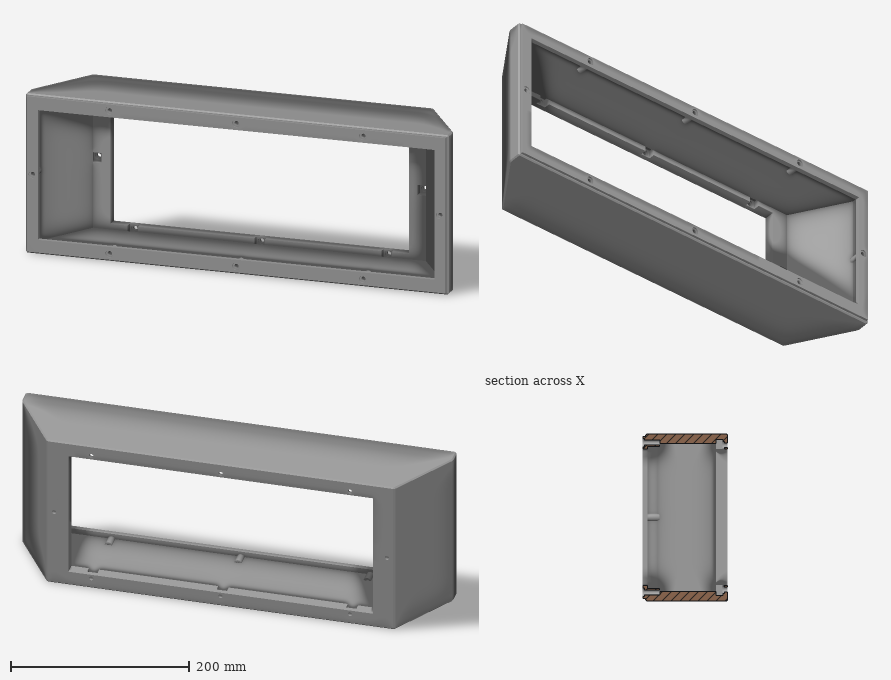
import cadquery as cq

LENGTH = 500.0
DEPTH = 95.5
HEIGHT = 187.5

BACK_LENGTH = 403.0
STRAIGHT_DEPTH = 20.0
EDGE_CHAMFER = 1.5
FACE_STEP = 3.0
FACE_INSET = 2.5

WALL = 11.0
FRONT_FLANGE = 5.5
BACK_FLANGE = 13.0
RAIL_HEIGHT = 17.5
FRONT_OPENING = 469.0
BACK_OPENING = 353.0

SCREW_PITCH = 150.0
FRONT_RAIL_SCREW_Z = 84.0
BACK_RAIL_SCREW_Z = 81.0
FRONT_END_SCREW_X = 241.0
BACK_END_SCREW_X = 193.0
SCREW_HOLE = 5.0
HEAD_RECESS = 9.0
RECESS_DEPTH = 1.5
INSERT_DIAMETER = 9.0
INSERT_END = 19.0
POCKET_SIZE = 12.0
POCKET_DEPTH = 7.5
POCKET_STEP_DIAMETER = 8.0


def tapered_block(inset, height):
    """Extrude the plan outline, offset inwards, symmetrically about Z = 0."""
    half_front = LENGTH / 2
    half_back = BACK_LENGTH / 2
    outline = [
        (-half_front, 0),
        (half_front, 0),
        (half_front, STRAIGHT_DEPTH),
        (half_back, DEPTH),
        (-half_back, DEPTH),
        (-half_front, STRAIGHT_DEPTH),
    ]
    plan = cq.Workplane("XY").polyline(outline).close()
    if inset:
        plan = plan.offset2D(-inset)
    return plan.extrude(height / 2, both=True)


def block_along_y(x, z, size_x, size_z, y_start, y_end):
    """Box centred on (x, z) and spanning y_start to y_end."""
    middle = (y_start + y_end) / 2
    return cq.Workplane("XY").box(size_x, y_end - y_start, size_z).translate((x, middle, z))


def rods_along_y(points, diameter, y_start, y_end):
    """Cylinders parallel to Y at the given (x, z) points."""
    plane = cq.Plane(origin=(0, y_start, 0), xDir=(1, 0, 0), normal=(0, -1, 0))
    return cq.Workplane(plane).pushPoints(points).circle(diameter / 2).extrude(y_start - y_end)


def screw_points(end_x, rail_z):
    """Three screws in each long rail and one in each end."""
    rails = [(i * SCREW_PITCH, side * rail_z) for i in (-1, 0, 1) for side in (-1, 1)]
    ends = [(side * end_x, 0) for side in (-1, 1)]
    return rails + ends


back_flange_y = DEPTH - BACK_FLANGE
opening_height = HEIGHT - 2 * RAIL_HEIGHT
front_screws = screw_points(FRONT_END_SCREW_X, FRONT_RAIL_SCREW_Z)
back_screws = screw_points(BACK_END_SCREW_X, BACK_RAIL_SCREW_Z)

shell_space = block_along_y(0, 0, LENGTH, HEIGHT, FACE_STEP, DEPTH)
shell = tapered_block(0, HEIGHT).intersect(shell_space).edges().chamfer(EDGE_CHAMFER)
face_length = LENGTH - 2 * FACE_INSET
face_height = HEIGHT - 2 * FACE_INSET
shell = shell.union(block_along_y(0, 0, face_length, face_height, 0, FRONT_FLANGE))

inner_length = LENGTH - 2 * WALL
inner_height = HEIGHT - 2 * WALL
cavity_front = block_along_y(0, 0, inner_length, inner_height, FRONT_FLANGE, WALL)
cavity_slab = block_along_y(0, 0, LENGTH, HEIGHT, FRONT_FLANGE, back_flange_y)
cavity = tapered_block(WALL, inner_height).union(cavity_front).intersect(cavity_slab)

front_opening = block_along_y(0, 0, FRONT_OPENING, opening_height, 0, FRONT_FLANGE)
back_opening = block_along_y(0, 0, BACK_OPENING, opening_height, back_flange_y, DEPTH)
result = shell.cut(cavity).cut(front_opening).cut(back_opening)

result = result.union(rods_along_y(front_screws, INSERT_DIAMETER, FRONT_FLANGE, INSERT_END))
result = result.cut(rods_along_y(front_screws, SCREW_HOLE, 0, INSERT_END))
result = result.cut(rods_along_y(front_screws, HEAD_RECESS, 0, RECESS_DEPTH))

pocket_end = back_flange_y + POCKET_DEPTH
for x, z in back_screws:
    result = result.cut(block_along_y(x, z, POCKET_SIZE, POCKET_SIZE, back_flange_y, pocket_end))
step_end = pocket_end + RECESS_DEPTH
result = result.cut(rods_along_y(back_screws, POCKET_STEP_DIAMETER, pocket_end, step_end))
result = result.cut(rods_along_y(back_screws, SCREW_HOLE, back_flange_y, DEPTH))